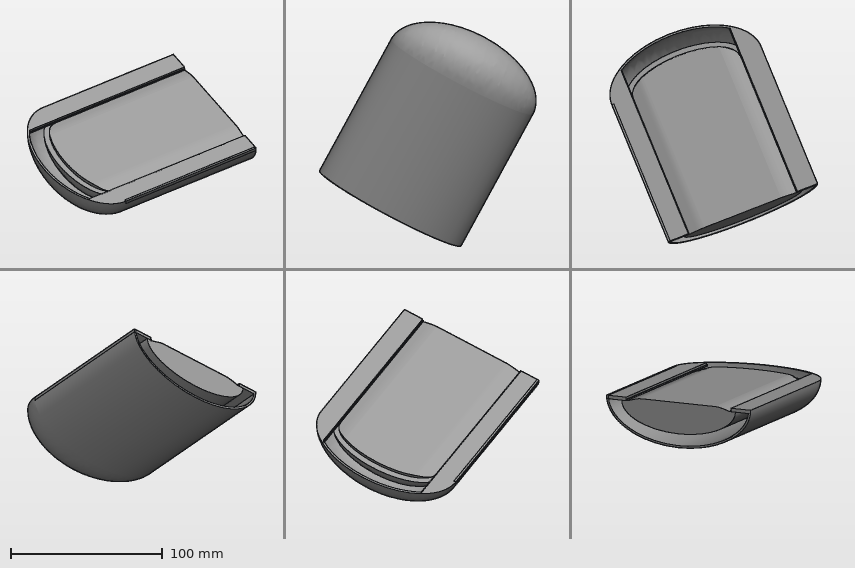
import cadquery as cq

LENGTH = 130.4
HALF_WIDTH = 106.0 / 2
DEPTH = 30.4
STRAIGHT_LENGTH = LENGTH - DEPTH
WALL = 1.4

LIP_THICKNESS = 2.3
SLOT_HALF_WIDTH = 38.1
SLOT_STEP_WIDTH = 0.5
SLOT_STEP_DEPTH = 1.4

SLIDE_CLEARANCE = 0.3
SHOULDER = 3.9
NECK_HALF_WIDTH = SLOT_HALF_WIDTH - SLIDE_CLEARANCE
NECK_FRONT_REACH = 14.7
INSERT_HALF_WIDTH = NECK_HALF_WIDTH + SHOULDER
INSERT_DEPTH = NECK_FRONT_REACH + SHOULDER
PLATEAU_HALF_WIDTH = 27.1
BEVEL_START = 32.6
BEVEL_START_DROP = 0.9


def trough(half_width, depth):
    """Solid half-elliptic bar with a quarter-ellipsoid at its -Y end, flat on top at Z = 0."""
    section = cq.Workplane("XZ").ellipse(half_width, depth).extrude(-STRAIGHT_LENGTH)
    bar = section.intersect(slab(-half_width, half_width, 0, STRAIGHT_LENGTH, -depth, 0))
    front_outline = cq.Workplane("XY").ellipseArc(half_width, depth, 180, 360, startAtCurrent=False).close()
    front = front_outline.revolve(90, (0, 0, 0), (1, 0, 0))
    return bar.union(front)


def slab(x_min, x_max, y_min, y_max, z_min, z_max):
    """Rectangular block between the given limits."""
    size = (x_max - x_min, y_max - y_min, z_max - z_min)
    return cq.Workplane("XY").box(*size, centered=False).translate((x_min, y_min, z_min))


def make_cavity():
    """Hollow of the housing below the lips, plus the stepped slot that opens it upward."""
    hollow = trough(HALF_WIDTH - WALL, DEPTH - WALL)
    below_lips = slab(-HALF_WIDTH, HALF_WIDTH, -DEPTH, STRAIGHT_LENGTH, -DEPTH, -LIP_THICKNESS)
    slot = slab(-SLOT_HALF_WIDTH, SLOT_HALF_WIDTH, -DEPTH, STRAIGHT_LENGTH, -DEPTH, 0)
    upper_half_width = SLOT_HALF_WIDTH + SLOT_STEP_WIDTH
    slot_step = slab(-upper_half_width, upper_half_width, -DEPTH, STRAIGHT_LENGTH, -SLOT_STEP_DEPTH, 0)
    return hollow.intersect(below_lips.union(slot).union(slot_step))


def make_edge_strip(outer):
    """Narrow strip along the straight +X rim, as deep as the lip is thick."""
    return outer.intersect(slab(HALF_WIDTH - WALL, HALF_WIDTH, 0, STRAIGHT_LENGTH, -LIP_THICKNESS, 0))


def make_neck():
    """Raised part of the insert: flat plateau, rounded and bevelled sides, elliptic front."""
    crown = (
        cq.Workplane("XZ")
        .moveTo(-NECK_HALF_WIDTH, -LIP_THICKNESS)
        .lineTo(-BEVEL_START, -BEVEL_START_DROP)
        .tangentArcPoint((-PLATEAU_HALF_WIDTH, 0), relative=False)
        .lineTo(PLATEAU_HALF_WIDTH, 0)
        .tangentArcPoint((BEVEL_START, -BEVEL_START_DROP), relative=False)
        .lineTo(NECK_HALF_WIDTH, -LIP_THICKNESS)
        .close()
        .extrude(LENGTH, both=True)
    )
    footprint = (
        cq.Workplane("XY")
        .ellipse(NECK_HALF_WIDTH, NECK_FRONT_REACH)
        .extrude(-LIP_THICKNESS)
        .union(slab(-NECK_HALF_WIDTH, NECK_HALF_WIDTH, 0, STRAIGHT_LENGTH, -LIP_THICKNESS, 0))
    )
    return crown.intersect(footprint)


def make_insert():
    """Sliding body topped by the neck."""
    body = trough(INSERT_HALF_WIDTH, INSERT_DEPTH).translate((0, 0, -LIP_THICKNESS))
    return body.union(make_neck())


outer_shape = trough(HALF_WIDTH, DEPTH)
edge_strip = make_edge_strip(outer_shape)
housing = outer_shape.cut(make_cavity()).cut(edge_strip)
insert = make_insert()

result = cq.Compound.makeCompound([housing.val(), edge_strip.val(), insert.val()])